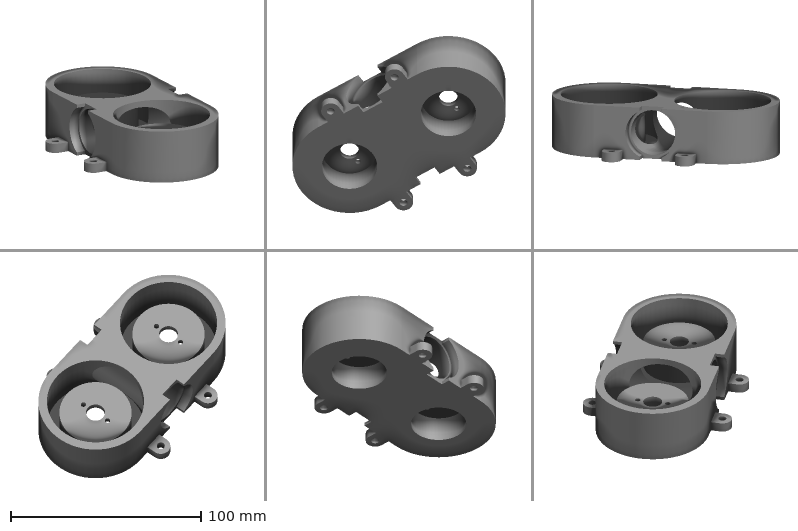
import cadquery as cq

body_length = 122
body_width = 60.0
body_height = 28
well_offset = (body_length - body_width) / 2
well_diameter = 51.0
well_floor = 3.0

pedestal_diameter = 38.0
pedestal_depth = 11.0
pedestal_height = body_height - pedestal_depth
pedestal_roof = 3.0
cavity_diameter = 29.0
shaft_hole_diameter = 10.0
screw_hole_diameter = 2.8
screw_hole_offset = 8.0

bore_diameter = 24.0
recess_diameter = 27.2
notch_width = 12.0
recess_depth = 5.0

tab_width = 10.0
tab_height = 5.0
tab_offset = 20.0
tab_overall = 80.0
tab_hole_diameter = 4.1
tab_hole_y = (tab_overall - tab_width) / 2

well_centres = [(-well_offset, 0), (well_offset, 0)]


def disc(centres, diameter, bottom, top):
    """Vertical cylinders between two heights."""
    plane = cq.Workplane("XY").workplane(offset=bottom)
    return plane.pushPoints(centres).circle(diameter / 2).extrude(top - bottom)


def cross_cylinder(diameter, length):
    """Cylinder along Y at mid height, centred on the body."""
    plane = cq.Workplane("XZ", origin=(0, 0, body_height / 2))
    return plane.circle(diameter / 2).extrude(length / 2, both=True)


def make_tabs():
    """Round-ended tabs on both long sides, each with a screw hole."""
    hole_centres = [(x, y) for x in (-tab_offset, tab_offset) for y in (-tab_hole_y, tab_hole_y)]
    ends = disc(hole_centres, tab_width, 0, tab_height)
    strips = (
        cq.Workplane("XY")
        .pushPoints([(-tab_offset, 0), (tab_offset, 0)])
        .rect(tab_width, 2 * tab_hole_y)
        .extrude(tab_height)
    )
    holes = disc(hole_centres, tab_hole_diameter, 0, tab_height)
    return strips.union(ends).cut(holes)


def make_end_recesses():
    """Widened bore mouth and full-height notch at both ends of the bore."""
    notch = cq.Workplane("XY").rect(notch_width, body_width).extrude(body_height)
    inner_width = body_width - 2 * recess_depth
    core = cq.Workplane("XY").rect(body_length, inner_width).extrude(body_height)
    return cross_cylinder(recess_diameter, body_width).union(notch).cut(core)


body = cq.Workplane("XY").slot2D(body_length, body_width).extrude(body_height)
body = body.union(make_tabs())
body = body.cut(disc(well_centres, well_diameter, well_floor, body_height))
body = body.cut(cross_cylinder(bore_diameter, body_width))
body = body.cut(make_end_recesses())

body = body.union(disc(well_centres, pedestal_diameter, 0, pedestal_height))
body = body.cut(disc(well_centres, cavity_diameter, 0, pedestal_height - pedestal_roof))
body = body.cut(disc(well_centres, shaft_hole_diameter, 0, pedestal_height))
screw_centres = [(x, side * screw_hole_offset) for x, _ in well_centres for side in (-1, 1)]
body = body.cut(disc(screw_centres, screw_hole_diameter, 0, pedestal_height))

result = body